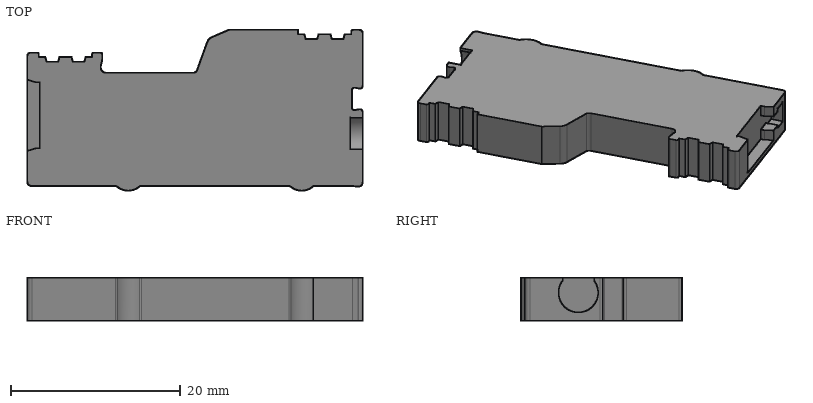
import cadquery as cq
import math

LENGTH = 39.6
THICKNESS = 5.1

LEFT_TOP = 15.75
WAIST_TOP = 13.4
RIGHT_TOP = 18.45

SHOULDER_X = 8.87
SHOULDER_FOOT_X = 8.5
SHOULDER_BEND_Y = 14.93
HUMP_FOOT_X = 19.9
HUMP_CORNER = (21.4, 17.42)
HUMP_TOP_X = 23.8

COMB_CENTERS = (4.5, 35.1)
COMB_WIDTH = 6.25
COMB_DEPTH = 0.5
VALLEY_PITCH = 3.1
VALLEY_DEPTH = 0.55
VALLEY_MOUTH = 1.65
VALLEY_FLOOR = 1.35

NOTCH_CENTER_Y = 10.3
NOTCH_DEPTH = 1.25
NOTCH_MOUTH = 2.25
NOTCH_FLOOR = 2.75

TOE_START_X = 38.37
TOE_END_X = 39.0
TOE_DROP = 0.08

FOOT_CENTERS = (11.9, 32.4)
FOOT_HALF_WIDTH = 1.4
FOOT_HEIGHT = 0.55
FOOT_BLEND = 0.35

END_RADIUS = 0.5
TOP_RADIUS = 0.4
TOE_RADIUS = 0.55
POST_RADIUS = 0.25
WAIST_RADII = (0.65, 0.48)
HUMP_RADIUS = 1.2
NOTCH_FLOOR_RADIUS = 0.28
NOTCH_MOUTH_RADIUS = 0.35

POCKET_DEPTH = 1.5
POCKET_DRAFT_DEPTH = 1.05
POCKET_FLOOR_Z = 0.6
POCKET_MOUTH_Y = (4.15, 12.55)
POCKET_DRAFT = 0.3

SLOT_CENTER_Z = 2.85
SLOT_NECK_HEIGHT = 1.9
SLOT_HEAD_HEIGHT = 2.6
SLOT_HEAD_Y = (1.1, 2.77)

GROOVE_CENTER_Y = 6.2
GROOVE_RADIUS = 2.35
GROOVE_MOUTH_WIDTH = 3.72
GROOVE_MOUTH_DEPTH = 0.35
GROOVE_LENGTH = 1.5


def comb_points(center_x, edge_y):
    """Points of a toothed recess, left to right, below an edge at edge_y."""
    ledge_y = edge_y - COMB_DEPTH
    floor_y = ledge_y - VALLEY_DEPTH
    left_x = center_x - COMB_WIDTH / 2
    right_x = center_x + COMB_WIDTH / 2
    points = [(left_x, edge_y), (left_x, ledge_y)]
    for valley_x in (center_x - VALLEY_PITCH / 2, center_x + VALLEY_PITCH / 2):
        points += [
            (valley_x - VALLEY_MOUTH / 2, ledge_y),
            (valley_x - VALLEY_FLOOR / 2, floor_y),
            (valley_x + VALLEY_FLOOR / 2, floor_y),
            (valley_x + VALLEY_MOUTH / 2, ledge_y),
        ]
    return points + [(right_x, ledge_y), (right_x, edge_y)]


PICK_REACH = 0.02


def round_corners(body, corners, radius):
    """Fillet the vertical edges that stand on the given outline corners."""
    for x, y in corners:
        box = cq.selectors.BoxSelector(
            (x - PICK_REACH, y - PICK_REACH, 0), (x + PICK_REACH, y + PICK_REACH, THICKNESS)
        )
        body = body.edges("|Z").edges(box).fillet(radius)
    return body


left_comb = comb_points(COMB_CENTERS[0], LEFT_TOP)
right_comb = comb_points(COMB_CENTERS[1], RIGHT_TOP)
notch_floor_x = LENGTH - NOTCH_DEPTH
notch_floor = [(notch_floor_x, NOTCH_CENTER_Y + side * NOTCH_FLOOR / 2) for side in (1, -1)]
notch_mouth = [(LENGTH, NOTCH_CENTER_Y + side * NOTCH_MOUTH / 2) for side in (1, -1)]
lower_left_corner = (0, 0)
upper_left_corner = (0, LEFT_TOP)
shoulder_top = (SHOULDER_X, LEFT_TOP)
waist_corners = [(SHOULDER_FOOT_X, WAIST_TOP), (HUMP_FOOT_X, WAIST_TOP)]
upper_right_corner = (LENGTH, RIGHT_TOP)
toe_corner = (LENGTH, -TOE_DROP)

outline = (
    [lower_left_corner, upper_left_corner]
    + left_comb
    + [shoulder_top, (SHOULDER_X, SHOULDER_BEND_Y)]
    + waist_corners
    + [HUMP_CORNER, (HUMP_TOP_X, RIGHT_TOP)]
    + right_comb
    + [upper_right_corner, notch_mouth[0]]
    + notch_floor
    + [notch_mouth[1], toe_corner, (TOE_END_X, -TOE_DROP), (TOE_START_X, 0)]
)
plate = cq.Workplane("XY").polyline(outline).close().extrude(THICKNESS)

foot_radius = (FOOT_HALF_WIDTH**2 + FOOT_HEIGHT**2) / (2 * FOOT_HEIGHT)
for foot_x in FOOT_CENTERS:
    foot = (
        cq.Workplane("XY")
        .center(foot_x, foot_radius - FOOT_HEIGHT)
        .circle(foot_radius)
        .extrude(THICKNESS)
    )
    plate = plate.union(foot)

foot_corners = [
    (FOOT_CENTERS[0] - FOOT_HALF_WIDTH, 0),
    (FOOT_CENTERS[0] + FOOT_HALF_WIDTH, 0),
    (FOOT_CENTERS[1] - FOOT_HALF_WIDTH, 0),
]
plate = round_corners(plate, [lower_left_corner], END_RADIUS)
plate = round_corners(plate, [upper_left_corner, upper_right_corner], TOP_RADIUS)
plate = round_corners(plate, [left_comb[0], left_comb[-1], shoulder_top, right_comb[-1]], POST_RADIUS)
for waist_corner, waist_radius in zip(waist_corners, WAIST_RADII):
    plate = round_corners(plate, [waist_corner], waist_radius)
plate = round_corners(plate, [HUMP_CORNER], HUMP_RADIUS)
plate = round_corners(plate, notch_floor, NOTCH_FLOOR_RADIUS)
plate = round_corners(plate, notch_mouth, NOTCH_MOUTH_RADIUS)
plate = round_corners(plate, [toe_corner], TOE_RADIUS)
plate = round_corners(plate, foot_corners, FOOT_BLEND)

pocket_low_y = POCKET_MOUTH_Y[0] + POCKET_DRAFT
pocket_high_y = POCKET_MOUTH_Y[1] - POCKET_DRAFT
pocket = (
    cq.Workplane("XY", origin=(0, 0, POCKET_FLOOR_Z))
    .polyline([
        (0, POCKET_MOUTH_Y[0]),
        (0, POCKET_MOUTH_Y[1]),
        (POCKET_DRAFT_DEPTH, pocket_high_y),
        (POCKET_DEPTH, pocket_high_y),
        (POCKET_DEPTH, pocket_low_y),
        (POCKET_DRAFT_DEPTH, pocket_low_y),
    ])
    .close()
    .extrude(THICKNESS - POCKET_FLOOR_Z)
)


def slot_block(start_y, end_y, height):
    """Block of the end slot, as deep as the pocket and centred on the slot height."""
    corner = (0, start_y, SLOT_CENTER_Z - height / 2)
    return cq.Workplane("XY", origin=corner).box(POCKET_DEPTH, end_y - start_y, height, centered=False)


slot_neck = slot_block(SLOT_HEAD_Y[1], pocket_low_y, SLOT_NECK_HEIGHT)
slot_head = slot_block(SLOT_HEAD_Y[0], SLOT_HEAD_Y[1], SLOT_HEAD_HEIGHT)

mouth_bottom_z = THICKNESS - GROOVE_MOUTH_DEPTH
bore_center_z = mouth_bottom_z - math.sqrt(GROOVE_RADIUS**2 - (GROOVE_MOUTH_WIDTH / 2) ** 2)
groove_start_x = LENGTH - GROOVE_LENGTH
bore = (
    cq.Workplane("YZ", origin=(groove_start_x, GROOVE_CENTER_Y, bore_center_z))
    .circle(GROOVE_RADIUS)
    .extrude(GROOVE_LENGTH)
)
mouth_corner = (groove_start_x, GROOVE_CENTER_Y - GROOVE_MOUTH_WIDTH / 2, bore_center_z)
mouth = cq.Workplane("XY", origin=mouth_corner).box(
    GROOVE_LENGTH, GROOVE_MOUTH_WIDTH, THICKNESS - bore_center_z, centered=False
)

result = plate.cut(pocket).cut(slot_neck).cut(slot_head).cut(bore).cut(mouth)